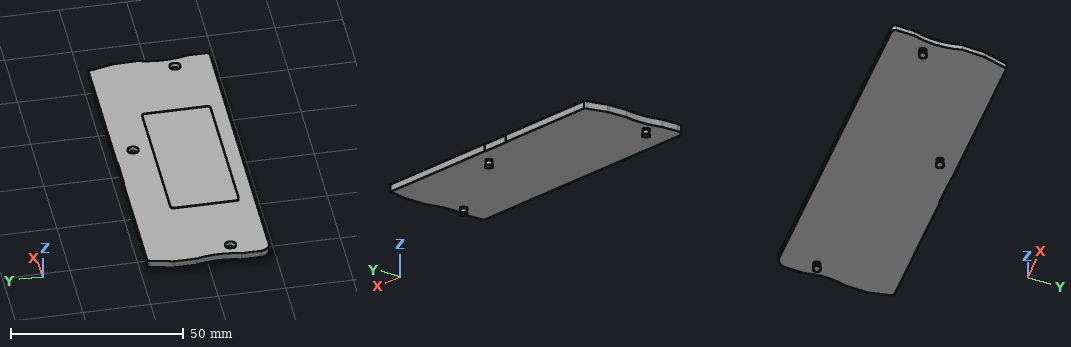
import cadquery as cq

length = 94.0
width = 36.2
thickness = 2.35
total_height = 4.4

left_shoulder = 28.7
right_shoulder = 28.7
top_inset = 1.9
right_inset = 0.2
left_wave = (8.65, 21.9)
right_wave = (6.8, 21.6)
left_wave_depth = 0.8
right_wave_depth = 1.1
left_corner_radius = 2.9
right_corner_radius = 1.1
shoulder_radius = 2.8
corner_bevel_width = 0.4
corner_bevel_height = 0.75

relief_start = 38.5
relief_end = 48.1
relief_depth = 0.2

recess_left = 24.5
recess_right = 69.4
recess_bottom = 4.6
recess_top = 24.8
recess_radius = 0.9
recess_depth = 0.2

pin_places = [(4.4, 11.1), (53.3, 30.5), (89.4, 11.1)]
collar_diameter = 2.2
collar_height = 0.5
shank_diameter = 2.0
rim_diameter = 2.35
rim_height = 0.4

mouth_diameter = 3.2
throat_diameter = 2.3
floor_diameter = 1.3
mouth_depth = 0.3
funnel_depth = 0.75


def middle(span):
    return sum(span) / 2


def make_plate():
    right_edge = length - right_inset
    outline = (
        cq.Workplane("XY")
        .moveTo(0, 0)
        .lineTo(right_edge, 0)
        .lineTo(right_edge, right_wave[0])
        .threePointArc((length - right_wave_depth, middle(right_wave)), (length, right_wave[1]))
        .lineTo(right_edge, right_shoulder)
        .lineTo(length - top_inset, width)
        .lineTo(relief_end, width)
        .lineTo(relief_end, width - relief_depth)
        .lineTo(relief_start, width - relief_depth)
        .lineTo(relief_start, width)
        .lineTo(top_inset, width)
        .lineTo(top_inset - corner_bevel_width, width - corner_bevel_height)
        .lineTo(0, left_shoulder)
        .lineTo(0, left_wave[1])
        .threePointArc((left_wave_depth, middle(left_wave)), (0, left_wave[0]))
        .close()
    )
    plate = outline.extrude(thickness)
    rounded_corners = [
        (0, 0, left_corner_radius),
        (right_edge, 0, right_corner_radius),
        (0, left_shoulder, shoulder_radius),
        (right_edge, right_shoulder, shoulder_radius),
    ]
    for x, y, radius in rounded_corners:
        corner = cq.selectors.NearestToPointSelector((x, y, thickness / 2))
        plate = plate.edges("|Z").edges(corner).fillet(radius)
    return plate


def make_recess():
    recess_length = recess_right - recess_left
    recess_width = recess_top - recess_bottom
    center = ((recess_left + recess_right) / 2, (recess_bottom + recess_top) / 2)
    return (
        cq.Workplane("XY", origin=(*center, thickness - recess_depth))
        .rect(recess_length, recess_width)
        .extrude(recess_depth)
        .edges("|Z")
        .fillet(recess_radius)
    )


def turned(profile):
    """Revolve (radius, Z) points, starting and ending on the axis, about Z."""
    return cq.Workplane("XZ").polyline(profile).close().revolve(360, (0, 0), (0, 1))


def make_pin():
    pin_bottom = thickness - total_height
    rim_top = pin_bottom + rim_height
    root = thickness / 4
    return turned([
        (0, pin_bottom),
        (rim_diameter / 2, pin_bottom),
        (rim_diameter / 2, rim_top),
        (shank_diameter / 2, rim_top),
        (shank_diameter / 2, -collar_height),
        (collar_diameter / 2, -collar_height),
        (collar_diameter / 2, root),
        (0, root),
    ])


def make_funnel():
    floor = thickness - funnel_depth
    return turned([
        (0, floor),
        (floor_diameter / 2, floor),
        (throat_diameter / 2, thickness - mouth_depth),
        (mouth_diameter / 2, thickness),
        (0, thickness),
    ])


result = make_plate().cut(make_recess())
pin = make_pin()
funnel = make_funnel()
for x, y in pin_places:
    result = result.union(pin.translate((x, y, 0)))
    result = result.cut(funnel.translate((x, y, 0)))